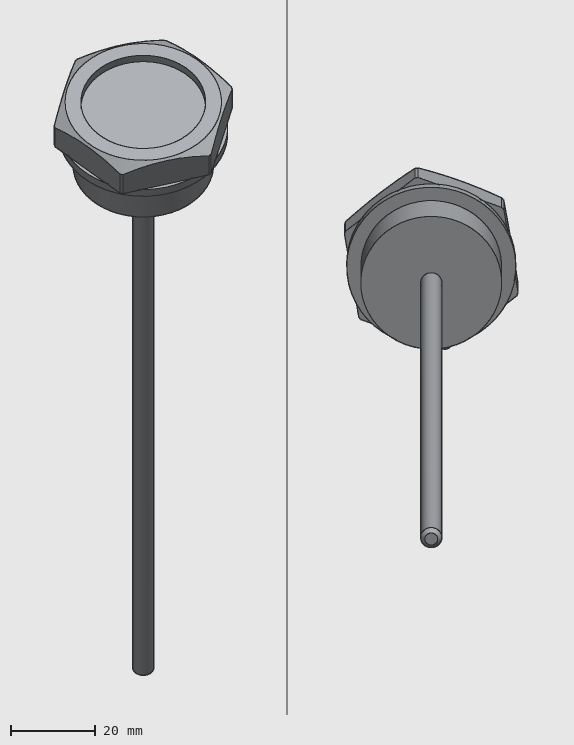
import cadquery as cq
import math

total_height = 202.0

hex_across_flats = 38.2
hex_across_corners = 43.6
hex_height = 8.7
hex_chamfer_diameter = 37.0
hex_chamfer_angle = 30.0

recess_diameter = 29.5
recess_depth = 2.2

flange_diameter = 40.0
flange_height = 2.5
plug_diameter = 33.3
plug_height = 11.1

rod_diameter = 5.0
tip_chamfer = 1.0

hex_bottom = total_height - hex_height
flange_bottom = hex_bottom - flange_height
plug_bottom = flange_bottom - plug_height


def cylinder(diameter, bottom, height):
    """Upright cylinder on the Z axis."""
    return cq.Workplane("XY", origin=(0, 0, bottom)).circle(diameter / 2).extrude(height)


def hex_head():
    """Hexagonal prism with turned-down corners, chamfered on top by a cone."""
    sharp_across_corners = hex_across_flats / math.cos(math.radians(30))
    prism = (
        cq.Workplane("XY", origin=(0, 0, hex_bottom))
        .polygon(6, sharp_across_corners)
        .extrude(hex_height)
        .rotate((0, 0, 0), (0, 0, 1), 90)
    )
    chamfer_radius = hex_chamfer_diameter / 2
    cone_radius = chamfer_radius + hex_height / math.tan(math.radians(hex_chamfer_angle))
    cone = (
        cq.Workplane("XZ")
        .moveTo(0, hex_bottom)
        .lineTo(cone_radius, hex_bottom)
        .lineTo(chamfer_radius, total_height)
        .lineTo(0, total_height)
        .close()
        .revolve(360, (0, 0, 0), (0, 1, 0))
    )
    turned_blank = cylinder(hex_across_corners, hex_bottom, hex_height)
    return prism.intersect(turned_blank).intersect(cone)


def rod():
    """Long rod with its lower edge chamfered."""
    return cylinder(rod_diameter, 0, plug_bottom).faces("<Z").chamfer(tip_chamfer)


flange = cylinder(flange_diameter, flange_bottom, flange_height)
plug = cylinder(plug_diameter, plug_bottom, plug_height)
recess = cylinder(recess_diameter, total_height - recess_depth, recess_depth)

result = hex_head().union(flange).union(plug).union(rod()).cut(recess)